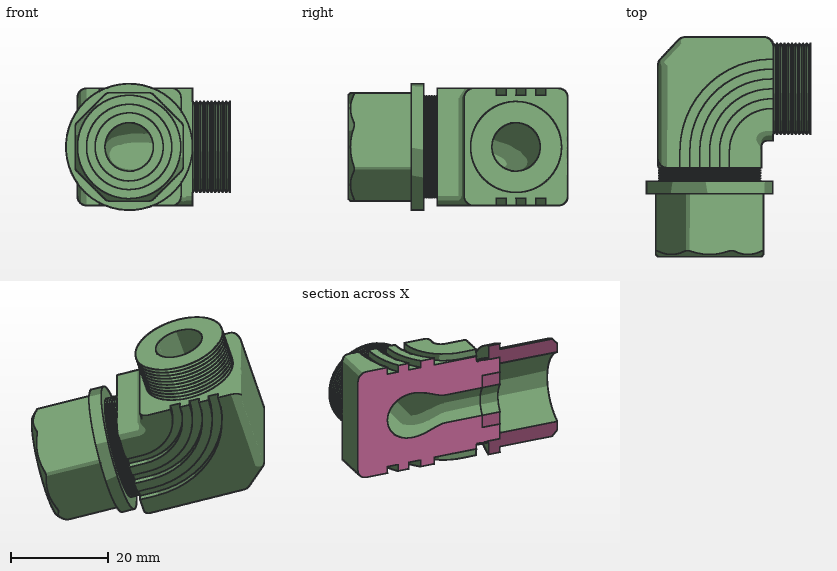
import cadquery as cq
import math

OUTLET_Y = 34.35
OUTLET_FACE_X = 13.0
OUTLET_END_X = 20.65

HALF_WIDTH = 10.6
HALF_HEIGHT = 12.0
BACK_Y = OUTLET_Y + HALF_WIDTH
GLAND_FACE_Y = 18.2
CORNER_CUT_X = 4.75
CORNER_CUT_Y = 5.1
EDGE_RADIUS = 2.0
INNER_CORNER_RADIUS = 1.15

OUTLET_THREAD_RADIUS = 9.3
OUTLET_THREAD_DEPTH = 0.55
OUTLET_THREAD_TURNS = 10
GLAND_THREAD_RADIUS = 10.45
GLAND_THREAD_DEPTH = 0.35
GLAND_THREAD_TURNS = 5
CREST_WIDTH = 0.05

GROOVE_WIDTH = 2.02
GROOVE_DEPTH = 1.5
GROOVE_COUNT = 3
GROOVE_RUN_OUT = 0.35
GROOVE_CENTRE_X = OUTLET_FACE_X - GROOVE_RUN_OUT
GROOVE_CENTRE_Y = OUTLET_Y - GROOVE_CENTRE_X
FIRST_GROOVE_RADIUS = GROOVE_CENTRE_X - 2 * GROOVE_WIDTH

PASSAGE_RADIUS = 4.95
BEND_RADIUS = 9.25
SEAL_RADIUS = 6.95
SEAL_LENGTH = 4.0

NUT_LENGTH = 15.5
FLANGE_RADIUS = 12.95
FLANGE_THICKNESS = 2.6
NUT_ACROSS_FLATS = 22.1
NUT_SIDES = 8
NUT_CORNER_RADIUS = 1.25
NUT_BORE_RADIUS = 8.7
NUT_END_RADIUS = 10.55

TOLERANCE = 0.005

FLANGE_START_Y = NUT_LENGTH - FLANGE_THICKNESS
NECK_END_Y = FLANGE_START_Y
NECK_RADIUS = GLAND_THREAD_RADIUS - GLAND_THREAD_DEPTH


def cylinder_y(radius, start_y, end_y):
    """Cylinder on the gland axis."""
    base = cq.Workplane("XZ", origin=(0, start_y, 0))
    return base.circle(radius).extrude(start_y - end_y)


def cylinder_x(radius, start_x, end_x):
    """Cylinder on the outlet axis."""
    base = cq.Workplane("YZ", origin=(start_x, OUTLET_Y, 0))
    return base.circle(radius).extrude(end_x - start_x)


def groove_rings(radius, depth, length, turns):
    """V groove rings around the Y axis, from the origin along -Y, with narrow crests between them."""
    pitch = length / turns
    rings = []
    for turn in range(turns):
        top = -turn * pitch - CREST_WIDTH / 2
        bottom = -(turn + 1) * pitch + CREST_WIDTH / 2
        ring = (
            cq.Workplane("XY")
            .moveTo(radius, top)
            .lineTo(radius - depth, (top + bottom) / 2)
            .lineTo(radius, bottom)
            .close()
            .revolve(360, (0, 0, 0), (0, 1, 0))
        )
        rings.append(ring.val())
    return cq.Workplane("XY").newObject([cq.Compound.makeCompound(rings)])


def elbow_outline():
    """L-shaped outline with a cut outer corner and a rounded inner corner."""
    stub_y = OUTLET_Y - HALF_WIDTH
    return (
        cq.Workplane("XY", origin=(0, 0, -HALF_HEIGHT))
        .moveTo(-HALF_WIDTH, GLAND_FACE_Y)
        .lineTo(HALF_WIDTH, GLAND_FACE_Y)
        .lineTo(HALF_WIDTH, stub_y - INNER_CORNER_RADIUS)
        .radiusArc((HALF_WIDTH + INNER_CORNER_RADIUS, stub_y), INNER_CORNER_RADIUS)
        .lineTo(OUTLET_FACE_X, stub_y)
        .lineTo(OUTLET_FACE_X, BACK_Y)
        .lineTo(-HALF_WIDTH + CORNER_CUT_X, BACK_Y)
        .lineTo(-HALF_WIDTH, BACK_Y - CORNER_CUT_Y)
        .close()
    )


def is_rounded(edge):
    """True for the outer corners, and for the large-face edges that do not border a neck face."""
    centre = edge.Center()
    if edge.BoundingBox().zlen > 2 * HALF_HEIGHT - TOLERANCE:
        on_left_wall = centre.x < -HALF_WIDTH + TOLERANCE
        return on_left_wall or centre.y > BACK_Y - TOLERANCE
    on_large_face = abs(abs(centre.z) - HALF_HEIGHT) < TOLERANCE
    on_gland_face = abs(centre.y - GLAND_FACE_Y) < TOLERANCE
    on_outlet_face = abs(centre.x - OUTLET_FACE_X) < TOLERANCE
    return on_large_face and not on_gland_face and not on_outlet_face


def elbow_block():
    """Rounded block with two plain necks; the rounding runs up to the rims of the necks."""
    block = (
        elbow_outline()
        .extrude(2 * HALF_HEIGHT)
        .union(cylinder_y(GLAND_THREAD_RADIUS, NUT_LENGTH, GLAND_FACE_Y))
        .union(cylinder_x(OUTLET_THREAD_RADIUS, OUTLET_FACE_X, OUTLET_END_X))
    )
    rounded_edges = [edge for edge in block.edges().vals() if is_rounded(edge)]
    return block.newObject(rounded_edges).fillet(EDGE_RADIUS)


def decoration_groove(inner_radius):
    """Quarter-ring groove with straight run-outs to both neck faces, cut into both large faces."""
    outer_radius = inner_radius + GROOVE_WIDTH
    floor_z = HALF_HEIGHT - GROOVE_DEPTH
    groove = (
        cq.Workplane("XY", origin=(0, 0, floor_z))
        .moveTo(GROOVE_CENTRE_X - outer_radius, GLAND_FACE_Y)
        .lineTo(GROOVE_CENTRE_X - outer_radius, GROOVE_CENTRE_Y)
        .radiusArc((GROOVE_CENTRE_X, GROOVE_CENTRE_Y + outer_radius), outer_radius)
        .lineTo(OUTLET_FACE_X, GROOVE_CENTRE_Y + outer_radius)
        .lineTo(OUTLET_FACE_X, GROOVE_CENTRE_Y + inner_radius)
        .lineTo(GROOVE_CENTRE_X, GROOVE_CENTRE_Y + inner_radius)
        .radiusArc((GROOVE_CENTRE_X - inner_radius, GROOVE_CENTRE_Y), -inner_radius)
        .lineTo(GROOVE_CENTRE_X - inner_radius, GLAND_FACE_Y)
        .close()
        .extrude(GROOVE_DEPTH)
    )
    return groove.union(groove.mirror("XY"))


def passage():
    """Round passage that turns from the gland axis onto the outlet axis."""
    bend_start_y = OUTLET_Y - BEND_RADIUS
    path = (
        cq.Workplane("XY")
        .moveTo(0, NECK_END_Y)
        .lineTo(0, bend_start_y)
        .radiusArc((BEND_RADIUS, OUTLET_Y), BEND_RADIUS)
        .lineTo(OUTLET_END_X, OUTLET_Y)
    )
    section = cq.Workplane("XZ", origin=(0, NECK_END_Y, 0)).circle(PASSAGE_RADIUS)
    return section.sweep(path)


def make_elbow():
    elbow = elbow_block()
    gland_thread_length = GLAND_FACE_Y - NUT_LENGTH
    gland_rings = groove_rings(
        GLAND_THREAD_RADIUS, GLAND_THREAD_DEPTH, gland_thread_length, GLAND_THREAD_TURNS
    )
    elbow = elbow.cut(gland_rings.translate((0, GLAND_FACE_Y, 0)))
    outlet_thread_length = OUTLET_END_X - OUTLET_FACE_X
    outlet_rings = groove_rings(
        OUTLET_THREAD_RADIUS, OUTLET_THREAD_DEPTH, outlet_thread_length, OUTLET_THREAD_TURNS
    )
    outlet_rings = outlet_rings.rotate((0, 0, 0), (0, 0, 1), 90)
    elbow = elbow.cut(outlet_rings.translate((OUTLET_FACE_X, OUTLET_Y, 0)))
    elbow = elbow.union(cylinder_y(NECK_RADIUS, NECK_END_Y, NUT_LENGTH))
    for index in range(GROOVE_COUNT):
        elbow = elbow.cut(decoration_groove(FIRST_GROOVE_RADIUS + 2 * index * GROOVE_WIDTH))
    elbow = elbow.cut(passage())
    return elbow.cut(cylinder_y(SEAL_RADIUS, NECK_END_Y, NECK_END_Y + SEAL_LENGTH))


def make_seal():
    """Ring in the recess at the mouth of the gland neck, flush with its end."""
    seal = cylinder_y(SEAL_RADIUS, NECK_END_Y, NECK_END_Y + SEAL_LENGTH)
    return seal.cut(cylinder_y(PASSAGE_RADIUS, NECK_END_Y, NECK_END_Y + SEAL_LENGTH))


def nut_end_cone():
    """Solid of revolution that bevels the octagon corners at 45 degrees at the free end."""
    reach = NUT_ACROSS_FLATS
    return (
        cq.Workplane("XY")
        .lineTo(NUT_END_RADIUS, 0)
        .lineTo(NUT_END_RADIUS + reach, reach)
        .lineTo(0, reach)
        .close()
        .revolve(360, (0, 0, 0), (0, 1, 0))
    )


def make_nut():
    """Octagonal nut with a round flange; its recess takes the gland neck."""
    circumscribed = NUT_ACROSS_FLATS / math.cos(math.pi / NUT_SIDES)
    octagon = (
        cq.Workplane("XZ")
        .polygon(NUT_SIDES, circumscribed)
        .extrude(-FLANGE_START_Y)
        .rotate((0, 0, 0), (0, 1, 0), 180 / NUT_SIDES)
        .edges("|Y")
        .fillet(NUT_CORNER_RADIUS)
        .intersect(nut_end_cone())
    )
    nut = octagon.union(cylinder_y(FLANGE_RADIUS, FLANGE_START_Y, NUT_LENGTH))
    nut = nut.cut(cylinder_y(NUT_BORE_RADIUS, 0, FLANGE_START_Y))
    return nut.cut(cylinder_y(NECK_RADIUS, NECK_END_Y, NUT_LENGTH))


elbow = make_elbow()
seal = make_seal()
nut = make_nut()
result = cq.Compound.makeCompound([elbow.solids().val(), seal.solids().val(), nut.solids().val()])